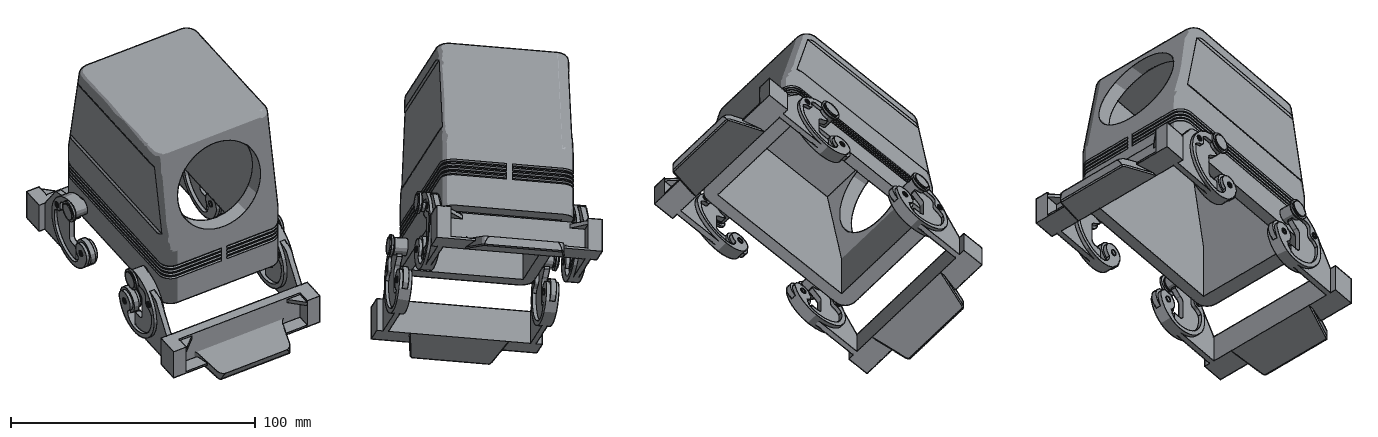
import cadquery as cq
import math


HOOD_X = 41.0
HOOD_Y = 28.0
HOOD_TOP = 75.0
HOOD_TOP_X = 32.1
CORNER_R = 5.7
TOP_ROUND = 2.9
BEND_BOTTOM = 27.5
BEND_TOP = 28.5
BEND_INSET = 0.09
WALL_X = 6.7
WALL_Y = 4.7
ROOF = 4.5

PANEL_DEPTH = 0.8
PANEL_BOTTOM = 34.9
PANEL_TOP = 67.9

GROOVE_COUNT = 4
GROOVE_PITCH = 1.84
GROOVE_FIRST = 14.0
GROOVE_WIDTH = 1.3
GROOVE_DEPTH = 0.47
GROOVE_GAP = 2.5

ENTRY_DIAMETER = 39.1
ENTRY_Z = 50.3

CHEEK_IN = 28.2
PLATE_IN = 29.8
PLATE_OUT = 32.1
CHEEK_OUT = 33.4
RIVET_IN = 27.8
RIVET_OUT = 33.7

RING_X = -25.0
RING_Z = -6.3
RING_R = 16.0
RING_INNER_R = 14.0
PIVOT_R = 3.6
PIVOT_Z = RING_R - PIVOT_R
ROLLER = (7.6, -5.2)
ROLLER_R = 5.6
ROLLER_CHEEK_R = 4.4
TAIL_R = 12.0
TAIL_INNER_R = 5.2
TAIL_SWEEP = 80
TAIL_INNER_SWEEP = 95
RIVET = (-11.7, 6.9)
RIVET_R = 1.3
LOBE_TOP = 11.2
LOBE_X = -9.2
LOBE_END = 2.4
NOTCH_X = -4.0
NOTCH_FLOOR = -7.2
NOTCH_END = 1.3
DIMPLE_R = 0.86
DIMPLE_DEPTH = 0.3

NECK_R = 3.2
FLANGE_R = 4.5
FLANGE_IN = 34.0
FLANGE_OUT = 35.0
BUTTON_OUT = 35.5

BAR_OUT = -59.0
BAR_IN = -48.8
BAR_Y = 34.7
BAR_TOP = -8.0
BAR_BOTTOM = -22.0
POCKET_DEPTH = 5.9
POCKET_Y = 28.7
POCKET_FLOOR = 0.9
GUSSET_LEG = 6.1
GUSSET_TOP = -8.9
GUSSET_BOTTOM = -10.6
TAB_TIP_X = -66.5
TAB_BOTTOM = -26.3
TAB_THICKNESS = 3.9
TAB_TILT = 14.8
TAB_TIP_Y = 16.6
TAB_ROOT_Y = 21.2
TAB_CORNER_R = 3.3
TAB_CHAMFER = 0.5
TAB_FILLET = 1.3


def box(x, y, z):
    """Box between the given (low, high) ranges."""
    size = (x[1] - x[0], y[1] - y[0], z[1] - z[0])
    return cq.Workplane("XY").box(*size, centered=False).translate((x[0], y[0], z[0]))


def rounded_wire(half_x, half_y, radius, height):
    """Outline of a rounded rectangle at the given height."""
    sketch = cq.Sketch().rect(2 * half_x, 2 * half_y).vertices().fillet(radius)
    return sketch.reset().faces().val().outerWire().moved(cq.Location(cq.Vector(0, 0, height)))


def hood_body():
    """Solid outer shape: vertical lower part, sloped end walls and rounded top."""
    sections = [
        (HOOD_X, 0),
        (HOOD_X, BEND_BOTTOM),
        (HOOD_X - BEND_INSET, BEND_TOP),
        (HOOD_TOP_X, HOOD_TOP),
    ]
    wires = [rounded_wire(half_x, HOOD_Y, CORNER_R, height) for half_x, height in sections]
    body = cq.Workplane(cq.Solid.makeLoft(wires, True))
    return body.faces(">Z").edges().fillet(TOP_ROUND)


def hood_cavity():
    """Open-bottomed hollow that follows the end walls up to the roof."""
    slope = (HOOD_X - HOOD_TOP_X) / (HOOD_TOP - BEND_BOTTOM)
    roof_z = HOOD_TOP - ROOF
    half_x = HOOD_X - WALL_X
    roof_half_x = half_x - slope * (roof_z - BEND_TOP)
    half_y = HOOD_Y - WALL_Y
    outline = [
        (-half_x, 0),
        (half_x, 0),
        (half_x, BEND_TOP),
        (roof_half_x, roof_z),
        (-roof_half_x, roof_z),
        (-half_x, BEND_TOP),
    ]
    return cq.Workplane("XZ").polyline(outline).close().extrude(half_y, both=True)


def side_panel():
    """Cutter for the recessed panel on the -Y side, with 45 degree top and bottom edges."""
    outline = [
        (-HOOD_Y, PANEL_BOTTOM),
        (-HOOD_Y + PANEL_DEPTH, PANEL_BOTTOM + PANEL_DEPTH),
        (-HOOD_Y + PANEL_DEPTH, PANEL_TOP - PANEL_DEPTH),
        (-HOOD_Y, PANEL_TOP),
    ]
    return cq.Workplane("YZ").polyline(outline).close().extrude(HOOD_X, both=True)


def groove(height):
    """Cutter for one V groove round the hood, bridged in the middle of both end walls."""
    low = height - GROOVE_WIDTH / 2
    high = height + GROOVE_WIDTH / 2
    wires = [
        rounded_wire(HOOD_X, HOOD_Y, CORNER_R, low),
        rounded_wire(HOOD_X - GROOVE_DEPTH, HOOD_Y - GROOVE_DEPTH, CORNER_R - GROOVE_DEPTH, height),
        rounded_wire(HOOD_X, HOOD_Y, CORNER_R, high),
    ]
    core = cq.Workplane(cq.Solid.makeLoft(wires, True))
    slab = box((-HOOD_X, HOOD_X), (-HOOD_Y, HOOD_Y), (low, high))
    bridge = box((-HOOD_X, HOOD_X), (-GROOVE_GAP / 2, GROOVE_GAP / 2), (low, high))
    return slab.cut(core).cut(bridge)


def cable_entry():
    """Horizontal bore through the sloped +X wall."""
    return cq.Workplane("YZ", origin=(0, 0, ENTRY_Z)).circle(ENTRY_DIAMETER / 2).extrude(HOOD_X)


def hood():
    """Hollow hood with its panels, grooves and cable entry."""
    body = hood_body().cut(hood_cavity()).cut(cable_entry())
    panel = side_panel()
    body = body.cut(panel).cut(panel.mirror("XZ"))
    for index in range(GROOVE_COUNT):
        body = body.cut(groove(GROOVE_FIRST + index * GROOVE_PITCH))
    return body


def layer(inner):
    """Workplane on the -Y side whose origin is the ring centre; extrusion runs outward."""
    return cq.Workplane("XZ", origin=(RING_X, -inner, RING_Z))


def disc(centre, radius, inner, outer):
    """Disc on the arm between two distances from the XZ plane."""
    return layer(inner).center(*centre).circle(radius).extrude(outer - inner)


def arm_plate():
    """Thin plate that reaches from the crossbar to the pivot, with the notch for the locking peg."""
    thickness = PLATE_OUT - PLATE_IN
    bar_x = BAR_IN - RING_X
    outline = (
        layer(PLATE_IN)
        .moveTo(bar_x, BAR_BOTTOM - RING_Z)
        .lineTo(bar_x, BAR_TOP - RING_Z)
        .lineTo(-16.4, 9.0)
        .threePointArc((-15.5, 10.4), (-14.1, 11.2))
        .lineTo(-10.2, 12.2)
        .lineTo(0, PIVOT_Z)
        .lineTo(0.9, 7.6)
        .lineTo(-2.3, 5.2)
        .threePointArc((-3.5, 4.4), (NOTCH_X, 3.2))
        .lineTo(NOTCH_X, -5.3)
        .threePointArc((-3.5, -6.7), (-2.1, NOTCH_FLOOR))
        .lineTo(NOTCH_END, NOTCH_FLOOR)
        .lineTo(NOTCH_END, -14.6)
        .lineTo(0, BAR_BOTTOM - RING_Z)
        .close()
    )
    return outline.extrude(thickness)


def hook_ring():
    """Thick rim on the left half of the ring, between the pivot and the tail."""
    thickness = CHEEK_OUT - CHEEK_IN
    outline = (
        layer(CHEEK_IN)
        .moveTo(0, RING_R)
        .threePointArc((-RING_R, 0), (0, -RING_R))
        .lineTo(0, -RING_INNER_R)
        .threePointArc((-RING_INNER_R, 0), (0, RING_INNER_R))
        .close()
    )
    return outline.extrude(thickness)


def rivet_lobe():
    """Thick web that joins the pivot to the rim and widens round the rivet."""
    thickness = CHEEK_OUT - CHEEK_IN
    outline = (
        layer(CHEEK_IN)
        .moveTo(0, LOBE_TOP)
        .lineTo(-7.0, LOBE_TOP)
        .threePointArc((-8.5, 10.5), (LOBE_X, 9.0))
        .lineTo(LOBE_X, 6.7)
        .threePointArc((-9.5, 5.3), (-10.6, 4.5))
        .threePointArc((-12.6, 3.6), (-13.7, LOBE_END))
        .lineTo(-RING_R, LOBE_END)
        .lineTo(-RING_R, RING_R)
        .lineTo(0, RING_R)
        .close()
    )
    return outline.extrude(thickness).intersect(disc((0, 0), RING_R, CHEEK_IN, CHEEK_OUT))


def on_arc(bottom, radius, angle):
    """Point on an arc whose lowest point is (0, bottom); the angle is measured from straight down."""
    turn = math.radians(angle)
    return (radius * math.sin(turn), bottom + radius * (1 - math.cos(turn)))


def hook_tail():
    """Tapering tail that curls from the bottom of the ring up to the roller."""
    outline = (
        layer(CHEEK_IN)
        .moveTo(0, -RING_R)
        .threePointArc(on_arc(-RING_R, TAIL_R, TAIL_SWEEP / 2), on_arc(-RING_R, TAIL_R, TAIL_SWEEP))
        .lineTo(*ROLLER)
        .lineTo(*on_arc(-RING_INNER_R, TAIL_INNER_R, TAIL_INNER_SWEEP))
        .threePointArc(
            on_arc(-RING_INNER_R, TAIL_INNER_R, TAIL_INNER_SWEEP / 2),
            (0, -RING_INNER_R),
        )
        .close()
    )
    return outline.extrude(CHEEK_OUT - CHEEK_IN)


def rivet(centre):
    """Rivet standing slightly proud of the cheeks, and the cutter for the dimple in its head."""
    dimple = disc(centre, DIMPLE_R, RIVET_OUT - DIMPLE_DEPTH, RIVET_OUT)
    return disc(centre, RIVET_R, RIVET_IN, RIVET_OUT), dimple


def pivot():
    """Pivot pin, anchored in the hood wall and closed by a stepped button."""
    centre = (0, PIVOT_Z)
    pin = disc(centre, PIVOT_R, HOOD_Y - WALL_Y / 2, CHEEK_OUT)
    pin = pin.union(disc(centre, NECK_R, CHEEK_OUT, FLANGE_IN))
    pin = pin.union(disc(centre, FLANGE_R, FLANGE_IN, FLANGE_OUT))
    return pin.union(disc(centre, PIVOT_R, FLANGE_OUT, BUTTON_OUT))


def lever_arm():
    """Arm on the -X, -Y corner of the hood."""
    arm = arm_plate().union(hook_ring()).union(rivet_lobe()).union(hook_tail()).union(pivot())
    arm = arm.union(disc(ROLLER, ROLLER_R, PLATE_IN, PLATE_OUT))
    arm = arm.union(disc(ROLLER, ROLLER_CHEEK_R, CHEEK_IN, CHEEK_OUT))
    for centre in (RIVET, ROLLER):
        body, dimple = rivet(centre)
        arm = arm.union(body).cut(dimple)
    return arm


def gusset():
    """Triangular stiffener in the upper -Y corner of the crossbar pocket."""
    back_x = BAR_OUT + POCKET_DEPTH
    outline = [(BAR_OUT, -POCKET_Y), (back_x, -POCKET_Y), (back_x, -POCKET_Y + GUSSET_LEG)]
    plane = cq.Workplane("XY", origin=(0, 0, GUSSET_BOTTOM))
    return plane.polyline(outline).close().extrude(GUSSET_TOP - GUSSET_BOTTOM)


def crossbar():
    """Bar with a pocket that opens outward and upward."""
    bar = box((BAR_OUT, BAR_IN), (-BAR_Y, BAR_Y), (BAR_BOTTOM, BAR_TOP))
    pocket = box(
        (BAR_OUT, BAR_OUT + POCKET_DEPTH),
        (-POCKET_Y, POCKET_Y),
        (BAR_BOTTOM + POCKET_FLOOR, BAR_TOP),
    )
    corner = gusset()
    return bar.cut(pocket).union(corner).union(corner.mirror("XZ"))


def finger_tab():
    """Tilted tab, narrower at the tip, that grows out of the pocket's back wall."""
    tilt = math.radians(TAB_TILT)
    slope = math.tan(tilt)
    tip_bottom_x = TAB_TIP_X + TAB_THICKNESS * math.sin(tilt)
    tip_top_z = TAB_BOTTOM + TAB_THICKNESS * math.cos(tilt)
    root_x = tip_bottom_x + (BAR_BOTTOM - TAB_BOTTOM) / slope
    root_top_z = tip_top_z + slope * (root_x - TAB_TIP_X)
    side = [
        (root_x, BAR_BOTTOM),
        (tip_bottom_x, TAB_BOTTOM),
        (TAB_TIP_X, tip_top_z),
        (root_x, root_top_z),
    ]
    slab = cq.Workplane("XZ").polyline(side).close().extrude(TAB_ROOT_Y, both=True)
    plan = [
        (root_x, -TAB_ROOT_Y),
        (TAB_TIP_X, -TAB_TIP_Y),
        (TAB_TIP_X, TAB_TIP_Y),
        (root_x, TAB_ROOT_Y),
    ]
    height = root_top_z - TAB_BOTTOM
    trapezoid = cq.Workplane("XY", origin=(0, 0, TAB_BOTTOM)).polyline(plan).close().extrude(height)
    trapezoid = trapezoid.edges("|Z").edges("<X").fillet(TAB_CORNER_R)
    underside = cq.selectors.DirectionMinMaxSelector(cq.Vector(math.sin(tilt), 0, -math.cos(tilt)))
    tab = slab.intersect(trapezoid)
    return tab.faces(underside).edges("not >X").chamfer(TAB_CHAMFER)


def crossbar_with_tab():
    """Crossbar and tab, with a fillet where the top of the tab meets the back wall."""
    back_x = BAR_OUT + POCKET_DEPTH
    body = crossbar().union(finger_tab())
    near_wall = cq.selectors.BoxSelector(
        (back_x - TAB_FILLET / 2, -TAB_ROOT_Y, BAR_BOTTOM + POCKET_FLOOR),
        (back_x + TAB_FILLET / 2, TAB_ROOT_Y, GUSSET_BOTTOM),
    )
    return body.edges(near_wall).fillet(TAB_FILLET)


def lever():
    """Complete locking lever on the -X end: crossbar, tab and both arms."""
    arm = lever_arm()
    return crossbar_with_tab().union(arm).union(arm.mirror("XZ"))


left_lever = lever()
result = hood().union(left_lever).union(left_lever.mirror("YZ"))